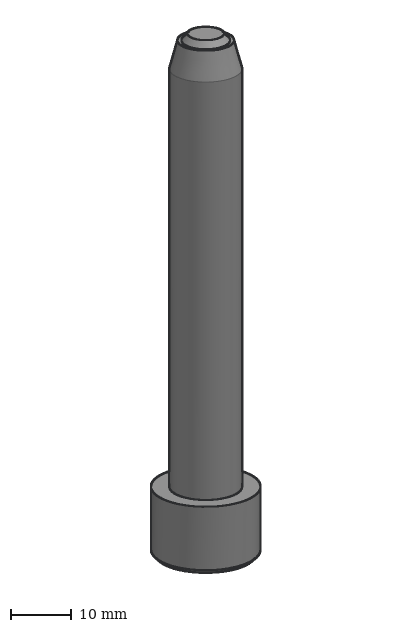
import cadquery as cq
import math

total_length = 92.0

head_radius = 18.0 / 2
head_height = 12.0
head_chamfer = 0.8

shank_radius = 12.0 / 2
lead_in_height = 5.0
lead_in_angle = 15.0

tip_height = 1.2
tip_base_radius = 8.0 / 2
tip_top_radius = 6.0 / 2

lead_in_top = total_length - tip_height
lead_in_bottom = lead_in_top - lead_in_height
lead_in_end_radius = shank_radius - lead_in_height * math.tan(math.radians(lead_in_angle))


def pin_profile():
    """Half section of the pin as (radius, height) points, closed along the axis."""
    return [
        (0, 0),
        (head_radius - head_chamfer, 0),
        (head_radius, head_chamfer),
        (head_radius, head_height),
        (shank_radius, head_height),
        (shank_radius, lead_in_bottom),
        (lead_in_end_radius, lead_in_top),
        (tip_base_radius, lead_in_top),
        (tip_top_radius, total_length),
        (0, total_length),
    ]


result = (
    cq.Workplane("XZ")
    .polyline(pin_profile())
    .close()
    .revolve(360, (0, 0, 0), (0, 1, 0))
)